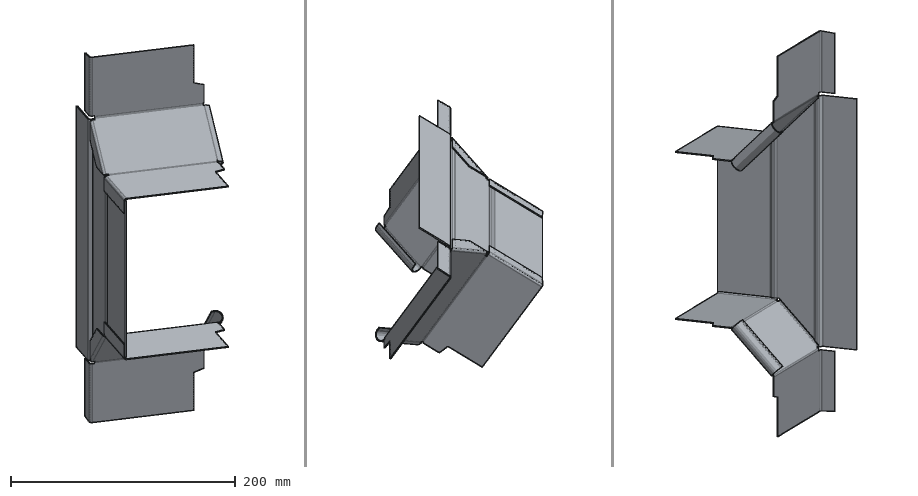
import cadquery as cq
import math


HEIGHT = 350.0
DEPTH = 114.5
WIDTH = 133.5

BRACKET_SHEET = 1.0
PLATE_SHEET = 1.23
INNER_RADIUS = 1.23
OUTER_RADIUS = INNER_RADIUS + BRACKET_SHEET

PLATE_LEFT = -35.5
PLATE_HALF_HEIGHT = 115.5
PLATE_BEND_RADIUS = 0.18
EDGE_CLEARANCE = 0.18
GROOVE_Y = 2.5
FIRST_GROOVE_X = [-2.0, 0, 2.0, 4.2]
SECOND_GROOVE_X = [41.0, 42.7, 44.5, 46.5]

RIGHT_END = PLATE_LEFT + WIDTH
TOP_Z = HEIGHT / 2
SLOPE_TOP_Z = 117.3
FLAT_Z = 77.5
FLAT_START_X = SLOPE_TOP_Z - FLAT_Z
SLOPE_LENGTH = FLAT_START_X * math.sqrt(2)

LIP_WIDTH = 14.7
LIP_TAPER = 1.0
END_LIP_GAP = 1.5
LIP_GAP = 0.7
RELIEF_Y = 4.5

HOOK_RADIUS = 6.3
HOOK_LEG = 3.0
HOOK_END_GAP = 0.7
REAR_Y = DEPTH - PLATE_SHEET - HOOK_RADIUS
STEP_DEPTH = 9.5
STEP_START = 18.5
STEP_END = 21.5
REAR_RELIEF_DEPTH = 0.7
REAR_RELIEF_WIDTH = 2.0


def offset_path(path, distance):
    """Shift an open path to its left, with mitred corners."""
    points = [cq.Vector(*point) for point in path]
    runs = [(end - start).normalized() for start, end in zip(points, points[1:])]
    lefts = [cq.Vector(-run.y, run.x) for run in runs]
    shifted = []
    for point, before, after in zip(points, lefts[:1] + lefts, lefts + lefts[-1:]):
        mitre = (before + after) * (distance / (1 + before.dot(after)))
        shifted.append((point + mitre).toTuple()[:2])
    return shifted


def bent_sheet(path, length, thickness, inner_radius, plane):
    """Extrude a sheet lying on the left of a path, with every corner a rounded bend."""
    far_path = offset_path(path, thickness)
    sheet = cq.Workplane().polyline(path + far_path[::-1]).close().extrude(length)
    for index in range(1, len(path) - 1):
        corner = cq.Vector(*path[index])
        before = corner - cq.Vector(*path[index - 1])
        after = cq.Vector(*path[index + 1]) - corner
        turns_left = before.cross(after).z > 0
        near_radius = inner_radius + thickness if turns_left else inner_radius
        far_radius = inner_radius if turns_left else inner_radius + thickness
        for point, radius in ((path[index], near_radius), (far_path[index], far_radius)):
            edge = cq.selectors.NearestToPointSelector((*point, length / 2))
            sheet = sheet.edges("|Z").edges(edge).fillet(radius)
    return cq.Workplane(sheet.val().moved(cq.Location(plane)))


def plan_prism(outline, start_y, end_y):
    """Extrude an X, Z outline from one Y level to another."""
    return cq.Workplane("XZ", origin=(0, end_y, 0)).polyline(outline).close().extrude(end_y - start_y)


def make_front_plate():
    """Plate with a left flange, two vertical grooves and ends tapered to fit between the brackets."""
    front_level = -PLATE_SHEET
    back_level = BRACKET_SHEET
    path = [(PLATE_LEFT, front_level)]
    for groove_x, left_level in ((FIRST_GROOVE_X, front_level), (SECOND_GROOVE_X, back_level)):
        path += zip(groove_x, (left_level, GROOVE_Y, GROOVE_Y, back_level))
    path += [(RIGHT_END, back_level)]
    plane = cq.Plane(origin=(0, 0, -PLATE_HALF_HEIGHT))
    plate = bent_sheet(path, 2 * PLATE_HALF_HEIGHT, PLATE_SHEET, PLATE_BEND_RADIUS, plane)

    inset = OUTER_RADIUS + EDGE_CLEARANCE
    slope_end_z = SLOPE_TOP_Z - inset * math.sqrt(2)
    flat_end_z = FLAT_Z - inset
    half = [
        (PLATE_LEFT, PLATE_HALF_HEIGHT),
        (0, PLATE_HALF_HEIGHT),
        (0, slope_end_z),
        (slope_end_z - flat_end_z, flat_end_z),
        (RIGHT_END, flat_end_z),
    ]
    outline = half + [(x, -z) for x, z in reversed(half)]
    return plate.intersect(plan_prism(outline, front_level, GROOVE_Y + PLATE_SHEET))


def make_wall():
    """Bent wall of the bracket, its rear edge stepped on both flanges and relieved at both bends."""
    path = [(RIGHT_END, FLAT_Z), (FLAT_START_X, FLAT_Z), (0, SLOPE_TOP_Z), (0, TOP_Z)]
    plane = cq.Plane(origin=(0, REAR_Y, 0), xDir=(1, 0, 0), normal=(0, -1, 0))
    wall = bent_sheet(path, REAR_Y - RELIEF_Y, BRACKET_SHEET, INNER_RADIUS, plane)

    def step(flange_end):
        """Outline removed from a flange, as distance from the bend and Y."""
        return [
            (STEP_START, REAR_Y),
            (STEP_END, REAR_Y - STEP_DEPTH),
            (flange_end, REAR_Y - STEP_DEPTH),
            (flange_end, REAR_Y),
        ]

    flat_step = [(FLAT_START_X + along, y) for along, y in step(RIGHT_END - FLAT_START_X)]
    end_step = [(y, SLOPE_TOP_Z + along) for along, y in step(TOP_Z - SLOPE_TOP_Z)]
    wall = wall.cut(cq.Workplane("XY").polyline(flat_step).close().extrude(FLAT_Z))
    wall = wall.cut(cq.Workplane("YZ").polyline(end_step).close().extrude(-BRACKET_SHEET))
    for x, z in path[1:-1]:
        relief = cq.Workplane().box(REAR_RELIEF_WIDTH, 2 * REAR_RELIEF_DEPTH, REAR_RELIEF_WIDTH)
        wall = wall.cut(relief.translate((x, REAR_Y, z)))
    return wall


def edge_plane(start, direction, inward):
    """Plane across a flange: local x points inward, local y along Y, the normal along the flange."""
    return cq.Plane(
        origin=(start[0], 0, start[1]),
        xDir=(inward[0], 0, inward[1]),
        normal=(direction[0], 0, direction[1]),
    )


SLOPE_PLANE = edge_plane((0, SLOPE_TOP_Z), (1, -1), (-1, -1))


def make_lip(plane, length, outline):
    """Lip bent inward from the front edge of one flange, trimmed to an X, Z outline."""
    lip = bent_sheet([(0, RELIEF_Y), (0, 0), (LIP_WIDTH, 0)], length, BRACKET_SHEET, INNER_RADIUS, plane)
    return lip.intersect(plan_prism(outline, 0, RELIEF_Y))


def make_lips():
    """Front lips of the end flange, the slope and the flat flange."""
    end_bottom = SLOPE_TOP_Z + END_LIP_GAP
    end_outline = [(0, end_bottom), (0, TOP_Z), (-LIP_WIDTH, TOP_Z - LIP_TAPER), (-LIP_WIDTH, end_bottom)]
    end_lip = make_lip(edge_plane((0, TOP_Z), (0, -1), (-1, 0)), TOP_Z - SLOPE_TOP_Z, end_outline)

    inner_edge_z = SLOPE_TOP_Z - LIP_WIDTH * math.sqrt(2)
    slope_outline = [
        (LIP_GAP, SLOPE_TOP_Z - LIP_GAP),
        (LIP_GAP, inner_edge_z - LIP_GAP),
        (inner_edge_z - FLAT_Z, FLAT_Z),
        (FLAT_START_X - LIP_GAP, FLAT_Z),
        (FLAT_START_X - LIP_GAP, FLAT_Z + LIP_GAP),
    ]
    slope_lip = make_lip(SLOPE_PLANE, SLOPE_LENGTH, slope_outline)

    flat_left = FLAT_START_X + LIP_GAP
    lip_bottom = FLAT_Z - LIP_WIDTH
    flat_outline = [
        (flat_left, FLAT_Z),
        (RIGHT_END, FLAT_Z),
        (RIGHT_END - LIP_TAPER, lip_bottom),
        (flat_left, lip_bottom),
    ]
    flat_plane = edge_plane((FLAT_START_X, FLAT_Z), (1, 0), (0, -1))
    flat_lip = make_lip(flat_plane, RIGHT_END - FLAT_START_X, flat_outline)
    return end_lip, slope_lip, flat_lip


def make_hook():
    """Half-round hook curled inward from the rear edge of the slope, ending in a short straight leg."""
    width = 2 * HOOK_RADIUS
    leg_end_y = REAR_Y - HOOK_LEG
    return (
        cq.Workplane(SLOPE_PLANE)
        .workplane(offset=HOOK_END_GAP)
        .moveTo(0, REAR_Y)
        .threePointArc((HOOK_RADIUS, REAR_Y + HOOK_RADIUS), (width, REAR_Y))
        .lineTo(width, leg_end_y)
        .lineTo(width - BRACKET_SHEET, leg_end_y)
        .lineTo(width - BRACKET_SHEET, REAR_Y)
        .threePointArc((HOOK_RADIUS, REAR_Y + HOOK_RADIUS - BRACKET_SHEET), (BRACKET_SHEET, REAR_Y))
        .close()
        .extrude(SLOPE_LENGTH - 2 * HOOK_END_GAP)
    )


def make_upper_bracket():
    """Bracket above the symmetry plane: wall, three front lips and rear hook."""
    bracket = make_wall().union(make_hook())
    for lip in make_lips():
        bracket = bracket.union(lip)
    return bracket


front_plate = make_front_plate()
upper_bracket = make_upper_bracket()
lower_bracket = upper_bracket.mirror("XY")

result = cq.Compound.makeCompound([front_plate.val(), upper_bracket.val(), lower_bracket.val()])